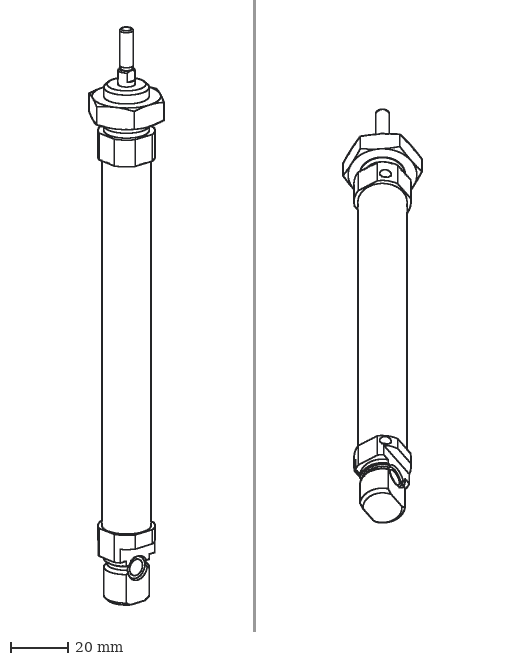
import cadquery as cq
import math

total_length = 212.5

collar_diameter = 16.0
relief_diameter = 13.6
collar_chamfer = (collar_diameter - relief_diameter) / 2

barrel_diameter = 17.2
cap_diameter = 20.0
cap_flat_width = 18.3
rear_cap_bottom = 16.8
rear_cap_top = 27.2
front_cap_bottom = 164.8
front_cap_top = 174.8
collar_top = 192.0

rear_relief_bottom = 13.0
rear_relief_top = 14.2
rear_relief_step = 14.9
rear_relief_step_diameter = 14.5
front_relief_bottom = 177.7
front_relief_top = 178.5

clevis_thickness = 12.0
clevis_height = 22.0
pin_hole_diameter = 6.0
pin_recess_diameter = 8.0
pin_mouth_diameter = 9.0
pin_recess_depth = 0.9
pin_hole_height = 13.0

port_diameter = 4.0
port_depth = 3.2
port_angle = 130.0
rear_port_height = 24.7
front_port_height = 168.5

nut_width = 24.0
nut_height = 8.0
nut_bottom = 179.5
nut_chamfer_angle = 20.0
nut_half_side_angle = 30.0

rod_diameter = 6.0
rod_bottom = front_cap_top
rod_flat_bottom = 193.7
rod_shoulder = 197.7
rod_flat_width = 4.9
stud_diameter = 4.9
stud_root_diameter = 4.0
stud_bottom = 199.0
rod_chamfer = (rod_diameter - stud_diameter) / 2
stud_tip_diameter = 3.8
stud_chamfer = (stud_diameter - stud_tip_diameter) / 2


def cylinder(diameter, bottom, top):
    """Upright cylinder on the Z axis."""
    return cq.Workplane("XY").workplane(offset=bottom).circle(diameter / 2).extrude(top - bottom)


def block(x_size, y_size, bottom, top):
    """Upright rectangular block centred on the Z axis."""
    return cq.Workplane("XY").workplane(offset=bottom).rect(x_size, y_size).extrude(top - bottom)


def revolved(points):
    """Solid of revolution about Z from (radius, height) points."""
    return cq.Workplane("XZ").polyline(points).close().revolve(360, (0, 0, 0), (0, 1, 0))


def end_cap(bottom, top):
    """Round cap with four flats facing +X, -X, +Y and -Y."""
    flats = block(cap_flat_width, cap_flat_width, bottom, top)
    return cylinder(cap_diameter, bottom, top).intersect(flats)


def front_collar():
    """Threaded collar with a relief groove above the front cap."""
    outer = collar_diameter / 2
    inner = relief_diameter / 2
    return revolved([
        (0, front_cap_top),
        (outer, front_cap_top),
        (outer, front_relief_bottom - collar_chamfer),
        (inner, front_relief_bottom),
        (inner, front_relief_top),
        (outer, front_relief_top + collar_chamfer),
        (outer, collar_top - collar_chamfer),
        (inner, collar_top),
        (0, collar_top),
    ])


def rear_stub():
    """Round stub with a relief groove below the rear cap."""
    outer = collar_diameter / 2
    inner = relief_diameter / 2
    return revolved([
        (0, 0),
        (inner, 0),
        (outer, collar_chamfer),
        (outer, rear_relief_bottom - collar_chamfer),
        (inner, rear_relief_bottom),
        (inner, rear_relief_top),
        (rear_relief_step_diameter / 2, rear_relief_step),
        (outer, rear_relief_step),
        (outer, rear_cap_bottom),
        (0, rear_cap_bottom),
    ])


def clevis_side_cuts():
    """Material removed on both X sides to leave the flat clevis."""
    around = block(2 * cap_diameter, 2 * cap_diameter, 0, clevis_height)
    return around.cut(block(clevis_thickness, 2 * cap_diameter, 0, clevis_height))


def pin_hole():
    """Cross hole along X with a tapered round recess in both clevis faces."""
    face = clevis_thickness / 2
    hole_radius = pin_hole_diameter / 2
    recess_radius = pin_recess_diameter / 2
    mouth_radius = pin_mouth_diameter / 2
    recess_floor = face - pin_recess_depth
    profile = cq.Workplane("XY").polyline([
        (-face, 0),
        (-face, mouth_radius),
        (-recess_floor, recess_radius),
        (-recess_floor, hole_radius),
        (recess_floor, hole_radius),
        (recess_floor, recess_radius),
        (face, mouth_radius),
        (face, 0),
    ]).close()
    return profile.revolve(360, (0, 0, 0), (1, 0, 0)).translate((0, 0, pin_hole_height))


def port(height):
    """Blind radial air port in the round corner of a cap."""
    angle = math.radians(port_angle)
    outward = cq.Vector(math.cos(angle), math.sin(angle), 0)
    mouth = outward * (cap_diameter / 2) + cq.Vector(0, 0, height)
    drill = cq.Solid.makeCylinder(port_diameter / 2, port_depth, mouth, outward * -1)
    return cq.Workplane(obj=drill)


def make_housing():
    """Barrel with end caps, threaded collar, rear clevis, ports and a blind rod bore."""
    housing = cylinder(barrel_diameter, rear_cap_top, front_cap_bottom)
    housing = housing.union(end_cap(rear_cap_bottom, rear_cap_top))
    housing = housing.union(end_cap(front_cap_bottom, front_cap_top))
    housing = housing.union(front_collar()).union(rear_stub())
    housing = housing.cut(clevis_side_cuts()).cut(pin_hole())
    for height in (rear_port_height, front_port_height):
        housing = housing.cut(port(height))
    return housing.cut(cylinder(rod_diameter, rod_bottom, collar_top))


def make_nut():
    """Hexagon nut with chamfered corners, points along Y."""
    across_corners = nut_width / math.cos(math.radians(nut_half_side_angle))
    nut_top = nut_bottom + nut_height
    hexagon = cq.Workplane("XY").workplane(offset=nut_bottom).polygon(6, across_corners)
    nut = hexagon.extrude(nut_height).rotate((0, 0, 0), (0, 0, 1), nut_half_side_angle)
    face_radius = nut_width / 2
    corner_radius = across_corners / 2
    corner_drop = (corner_radius - face_radius) * math.tan(math.radians(nut_chamfer_angle))
    envelope = revolved([
        (0, nut_bottom),
        (face_radius, nut_bottom),
        (corner_radius, nut_bottom + corner_drop),
        (corner_radius, nut_top - corner_drop),
        (face_radius, nut_top),
        (0, nut_top),
    ])
    return nut.intersect(envelope).cut(cylinder(collar_diameter, nut_bottom, nut_top))


def make_rod():
    """Piston rod with wrench flats and a stud that tapers at its root."""
    rod_radius = rod_diameter / 2
    stud_radius = stud_diameter / 2
    root_radius = stud_root_diameter / 2
    rod = revolved([
        (0, rod_bottom),
        (rod_radius, rod_bottom),
        (rod_radius, rod_shoulder - rod_chamfer),
        (stud_radius, rod_shoulder),
        (root_radius, rod_shoulder),
        (stud_radius, stud_bottom),
        (stud_radius, total_length - stud_chamfer),
        (stud_tip_diameter / 2, total_length),
        (0, total_length),
    ])
    around = block(2 * rod_diameter, 2 * rod_diameter, rod_flat_bottom, rod_shoulder)
    return rod.cut(around.cut(block(rod_flat_width, 2 * rod_diameter, rod_flat_bottom, rod_shoulder)))


housing = make_housing()
nut = make_nut()
rod = make_rod()

result = cq.Compound.makeCompound([housing.val(), nut.val(), rod.val()])